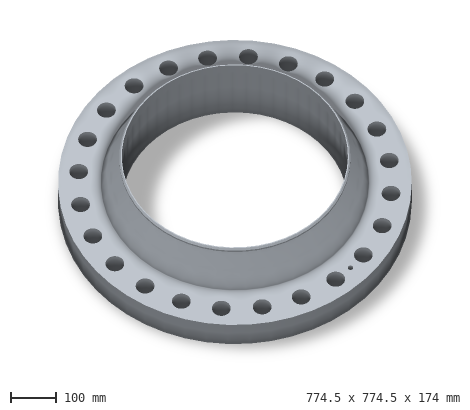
import cadquery as cq
import math

flange_diameter = 774.5
flange_thickness = 70.5
total_height = 174.0

raised_face_diameter = 585.5
raised_face_height = 7.0

bore_diameter = 495.0
hub_base_diameter = 587.0
neck_end_diameter = 506.5
neck_end_length = 5.0
weld_bevel_height = 5.0
weld_land = 2.0
hub_fillet_radius = 2.0

bolt_count = 24
bolt_circle_diameter = 686.0
bolt_hole_diameter = 41.0
small_hole_diameter = 12.0
small_hole_depth = 23.0
small_hole_step_diameter = 6.0
small_hole_step_depth = 12.0

bolt_pitch_angle = 360 / bolt_count
bolt_circle_radius = bolt_circle_diameter / 2
flange_top = raised_face_height + flange_thickness


def make_flange_plate():
    """Round plate standing on its raised sealing face."""
    raised_face = cq.Workplane("XY").circle(raised_face_diameter / 2).extrude(raised_face_height)
    plate = (
        cq.Workplane("XY")
        .workplane(offset=raised_face_height)
        .circle(flange_diameter / 2)
        .extrude(flange_thickness)
    )
    return raised_face.union(plate)


def make_neck():
    """Tapered hub ending in a short cylinder with a weld bevel."""
    bevel_bottom = total_height - weld_bevel_height
    taper_top = bevel_bottom - neck_end_length
    bevel_top_radius = bore_diameter / 2 + weld_land
    profile = [
        (0, flange_top),
        (hub_base_diameter / 2, flange_top),
        (neck_end_diameter / 2, taper_top),
        (neck_end_diameter / 2, bevel_bottom),
        (bevel_top_radius, total_height),
        (0, total_height),
    ]
    return cq.Workplane("XZ").polyline(profile).close().revolve(360, (0, 0, 0), (0, 1, 0))


def fillet_hub_base(body):
    """Round the inside corner where the hub meets the plate."""
    plate_top = body.faces(cq.selectors.NearestToPointSelector((0, 0, flange_top)))
    hub_corner = plate_top.edges(cq.selectors.RadiusNthSelector(0))
    return hub_corner.fillet(hub_fillet_radius)


def make_bore():
    return cq.Workplane("XY").circle(bore_diameter / 2).extrude(total_height)


def make_bolt_holes():
    return (
        cq.Workplane("XY")
        .polarArray(bolt_circle_radius, 0, 360, bolt_count)
        .circle(bolt_hole_diameter / 2)
        .extrude(flange_top)
    )


def make_small_hole():
    """Stepped blind hole on the bolt circle, half a pitch from the +X bolt hole."""
    angle = math.radians(bolt_pitch_angle / 2)
    mouth = (
        cq.Workplane("XY")
        .workplane(offset=flange_top)
        .center(bolt_circle_radius * math.cos(angle), bolt_circle_radius * math.sin(angle))
    )
    upper_part = mouth.circle(small_hole_diameter / 2).extrude(-small_hole_depth)
    lower_part = mouth.circle(small_hole_step_diameter / 2).extrude(-small_hole_depth - small_hole_step_depth)
    return upper_part.union(lower_part)


body = fillet_hub_base(make_flange_plate().union(make_neck()))
result = body.cut(make_bore()).cut(make_bolt_holes()).cut(make_small_hole())